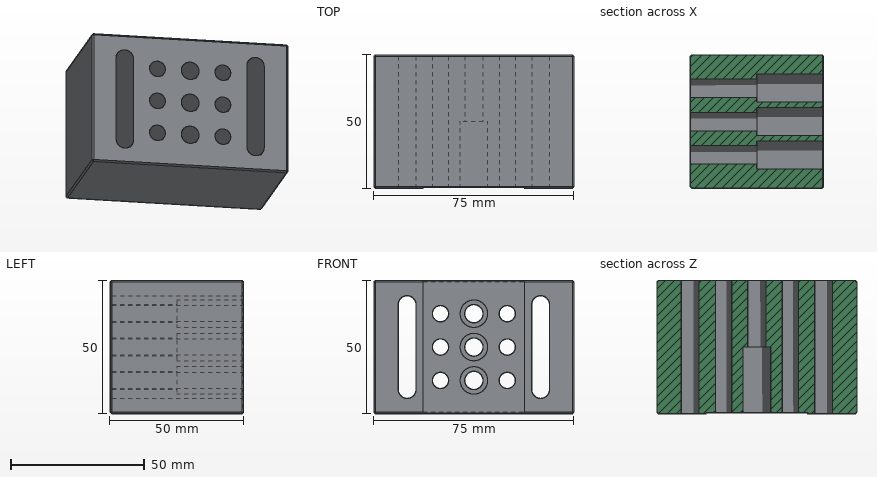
import cadquery as cq

length = 75.0
depth = 50.0
height = 50.0
edge_chamfer = 0.635

relief_width = 38.0
relief_depth = 0.381

hole_pitch = 12.5
row_heights = [-hole_pitch, 0.0, hole_pitch]
plain_hole_diameter = 6.0
bolt_hole_diameter = 6.75
counterbore_diameter = 10.3
counterbore_depth = depth / 2

slot_offset = 2 * hole_pitch
slot_width = 6.6
slot_length = 38.4
slot_angle = 90


def front_plane():
    """Sketch plane on the front face; its normal points out of the block."""
    origin = (0, -depth / 2, 0)
    return cq.Workplane(cq.Plane(origin=origin, xDir=(1, 0, 0), normal=(0, -1, 0)))


def make_block():
    return cq.Workplane("XY").box(length, depth, height).edges().chamfer(edge_chamfer)


def make_relief():
    return front_plane().rect(relief_width, height).extrude(-relief_depth)


def make_slots():
    centres = [(-slot_offset, 0), (slot_offset, 0)]
    outlines = front_plane().pushPoints(centres).slot2D(slot_length, slot_width, slot_angle)
    return outlines.extrude(-depth)


def make_hole_column(x, diameter, hole_depth):
    """A vertical column of round holes running back from the front face."""
    centres = [(x, z) for z in row_heights]
    return front_plane().pushPoints(centres).circle(diameter / 2).extrude(-hole_depth)


result = make_block()
result = result.cut(make_relief())
result = result.cut(make_slots())
for column_x in (-hole_pitch, hole_pitch):
    result = result.cut(make_hole_column(column_x, plain_hole_diameter, depth))
result = result.cut(make_hole_column(0, bolt_hole_diameter, depth))
result = result.cut(make_hole_column(0, counterbore_diameter, counterbore_depth))